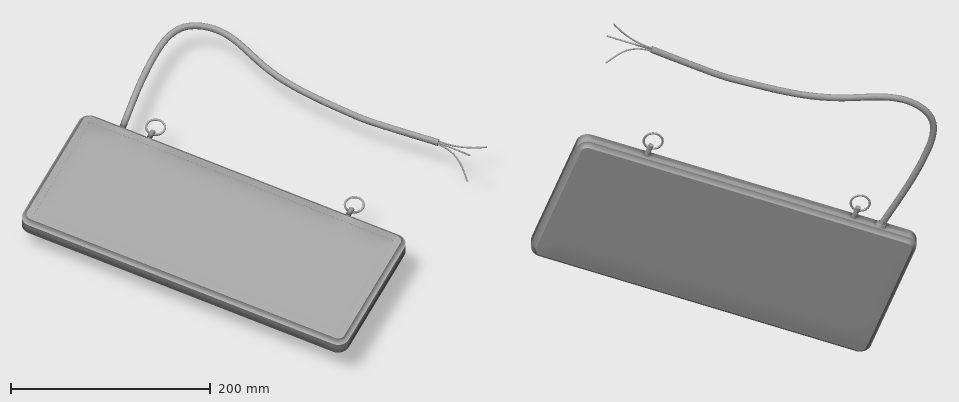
import cadquery as cq
import math

overall_length = 380.5

body_length = 362.7
body_width = 151.5
body_thickness = 22.0
corner_radius = 11.8
cove_radius = 4.5

panel_inset = 11.8
panel_depth = 0.2

ring_spacing = 221.5
ring_radius = 9.5
ring_wire_diameter = 2.3
ring_centre_gap = 18.5
stem_diameter = 5.5
stem_length = 13.5

gland_x = -139.5
gland_base_diameter = 11.5
gland_tip_diameter = 9.0
gland_height = 2.5

cable_diameter = 7.0
wire_diameter = 1.7
wire_offset = 1.5
wire_root_depth = 2.0
wire_direction = (1.0, 0.0, 0.0)
wire_end_steepness = 2.0

stem_embed = 3.8

back_y = body_width / 2
half_thickness = body_thickness / 2

cable_start = (gland_x, back_y)
cable_bends = [(-150.7, 170.5), (-139.0, 220.0), (-114.0, 230.3), (-54.0, 213.5), (-12.0, 201.5), (53.3, 195.2)]
cable_end = (152.5, 201.0)
cable_start_direction = (-0.15, 1.0, 0.0)
cable_end_direction = (1.0, 0.09, 0.0)

level_tip_overreach = 0.45
level_tip_x = overall_length - body_length / 2 - level_tip_overreach

wire_tips = [(level_tip_x, 217.5, 0.0), (194.5, 186.5, 21.0), (194.0, 182.3, -18.5)]


def make_body():
    """Housing whose top and bottom outer edges are hollowed by a quarter-round cove."""
    block = (
        cq.Workplane("XY")
        .box(body_length, body_width, body_thickness)
        .edges("|Z")
        .fillet(corner_radius)
    )
    body = block
    for face_selector, z in ((">Z", half_thickness), ("<Z", -half_thickness)):
        outer_edge = block.faces(face_selector).wires()
        cove = cq.Workplane("YZ", origin=(0, -back_y, z)).circle(cove_radius).sweep(outer_edge)
        body = body.cut(cove)
    return body


def make_panel_recess():
    """Shallow rectangular recess in the top face."""
    return (
        cq.Workplane("XY", origin=(0, 0, half_thickness - panel_depth))
        .rect(body_length - 2 * panel_inset, body_width - 2 * panel_inset)
        .extrude(panel_depth)
    )


def make_hanger(x):
    """Round stem with a flat ring through its tip, both lying in the XY plane."""
    stem = (
        cq.Workplane("XZ", origin=(x, back_y + stem_length, 0))
        .circle(stem_diameter / 2)
        .extrude(stem_length + stem_embed)
    )
    ring_solid = cq.Solid.makeTorus(
        ring_radius,
        ring_wire_diameter / 2,
        cq.Vector(x, back_y + ring_centre_gap, 0),
        cq.Vector(0, 0, 1),
    )
    return stem.union(cq.Workplane(ring_solid))


def make_gland():
    """Cone frustum where the cable enters the housing."""
    cone = cq.Solid.makeCone(
        gland_base_diameter / 2,
        gland_tip_diameter / 2,
        gland_height,
        cq.Vector(gland_x, back_y, 0),
        cq.Vector(0, 1, 0),
    )
    return cq.Workplane(cone)


def make_round_strand(points, diameter, start_direction, end_direction):
    """Round strand along a smooth curve through the points."""
    path_points = [cq.Vector(*point) for point in points]
    tangents = [cq.Vector(*start_direction), cq.Vector(*end_direction)]
    centreline = cq.Workplane(cq.Edge.makeSpline(path_points, tangents=tangents))
    start_plane = cq.Plane(origin=path_points[0], normal=tangents[0])
    return cq.Workplane(start_plane).circle(diameter / 2).sweep(centreline)


def make_cable():
    """Cable that leaves the gland, bends over in a loop and runs on along +X."""
    return make_round_strand(
        [cable_start, *cable_bends, cable_end],
        cable_diameter,
        cable_start_direction,
        cable_end_direction,
    )


def make_wire(tip):
    """Wire that leaves the cable end along X and bends steadily away towards its tip."""
    tip_y, tip_z = tip[1] - cable_end[1], tip[2]
    spread = math.hypot(tip_y, tip_z)
    root = (
        cable_end[0] - wire_root_depth,
        cable_end[1] + wire_offset * tip_y / spread,
        wire_offset * tip_z / spread,
    )
    tip_direction = (
        tip[0] - root[0],
        wire_end_steepness * (tip[1] - root[1]),
        wire_end_steepness * (tip[2] - root[2]),
    )
    return make_round_strand([root, tip], wire_diameter, wire_direction, tip_direction)


result = make_body().cut(make_panel_recess()).union(make_gland()).union(make_cable())
for hanger_x in (-ring_spacing / 2, ring_spacing / 2):
    result = result.union(make_hanger(hanger_x))
for wire_tip in wire_tips:
    result = result.union(make_wire(wire_tip))